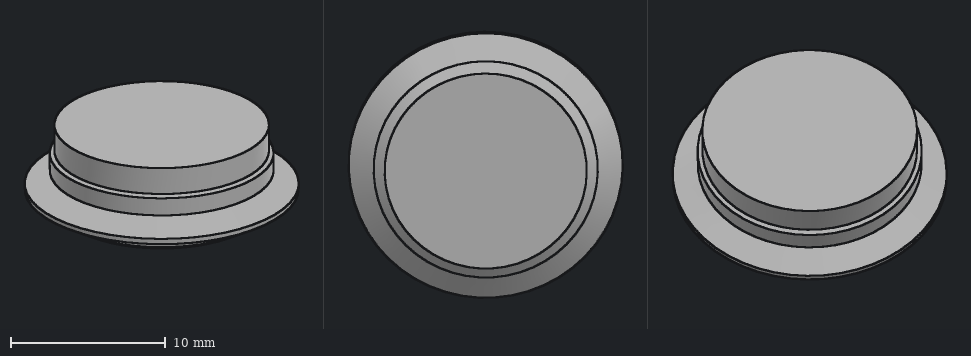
import cadquery as cq
import math

total_height = 5.85
rim_diameter = 17.7
collar_diameter = 14.46
head_diameter = 13.86
rim_bottom_z = 1.35
rim_height = 0.37
collar_top_z = 3.85
cone_angle = 30.0

slope = math.tan(math.radians(cone_angle))
rim_radius = rim_diameter / 2
collar_radius = collar_diameter / 2
head_radius = head_diameter / 2
rim_top_z = rim_bottom_z + rim_height
cone_height = (rim_radius - collar_radius) * slope
ring_bottom_z = rim_bottom_z - cone_height
ring_top_z = rim_top_z + cone_height
base_radius = rim_radius - rim_bottom_z / slope
bevel_top_z = collar_top_z + (collar_radius - head_radius) * slope


def revolve_profile(points):
    """Revolve a closed (radius, height) profile about the Z axis."""
    return cq.Workplane("XZ").polyline(points).close().revolve(360, (0, 0, 0), (0, 1, 0))


def make_plug():
    """Solid core with a tapered base, a bevelled collar and a narrower head."""
    return revolve_profile([
        (0, 0),
        (base_radius, 0),
        (collar_radius, ring_bottom_z),
        (collar_radius, collar_top_z),
        (head_radius, bevel_top_z),
        (head_radius, total_height),
        (0, total_height),
    ])


def make_ring():
    """Double-tapered ring around the plug; its lower cone continues the plug's base taper."""
    return revolve_profile([
        (collar_radius, ring_bottom_z),
        (rim_radius, rim_bottom_z),
        (rim_radius, rim_top_z),
        (collar_radius, ring_top_z),
    ])


plug = make_plug()
ring = make_ring()
result = cq.Compound.makeCompound([plug.val(), ring.val()])